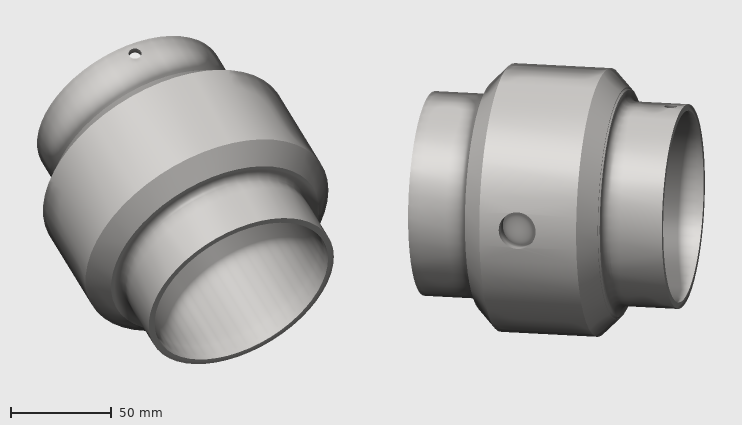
import cadquery as cq

housing_diameter = 133.4
collar_diameter = 114.3
pipe_diameter = 101.6
bore_diameter = 95.2

total_length = 128.5
left_shoulder_x = -24.3
right_shoulder_x = 24.8
collar_face_x = -34.0
collar_inner_x = -21.6
right_face_x = 34.1

housing_lip = 0.5
collar_chamfer = 0.8
fillet_radius = 3.6

vent_diameter = 6.4
vent_inset = 6.4
port_diameter = 18.7
port_x = 5.6

housing_radius = housing_diameter / 2
collar_radius = collar_diameter / 2
pipe_radius = pipe_diameter / 2
bore_radius = bore_diameter / 2
half_length = total_length / 2
lip_radius = collar_radius + housing_lip
left_face_x = left_shoulder_x - (housing_radius - lip_radius)
port_depth = housing_radius - collar_radius


def revolve_about_x(profile):
    return profile.close().revolve(360, (0, 0, 0), (1, 0, 0))


def make_port():
    """Blind round recess entering the housing from +Y."""
    return (
        cq.Workplane("XZ", origin=(port_x, housing_radius, 0))
        .circle(port_diameter / 2)
        .extrude(port_depth)
    )


def make_housing():
    """Bevelled barrel with the right pipe and a socket for the collar."""
    profile = (
        cq.Workplane("XY")
        .moveTo(collar_inner_x, bore_radius)
        .lineTo(half_length, bore_radius)
        .lineTo(half_length, pipe_radius)
        .lineTo(right_face_x + fillet_radius, pipe_radius)
        .radiusArc((right_face_x, pipe_radius + fillet_radius), fillet_radius)
        .lineTo(right_face_x, collar_radius)
        .lineTo(right_shoulder_x, housing_radius)
        .lineTo(left_shoulder_x, housing_radius)
        .lineTo(left_face_x, lip_radius)
        .lineTo(left_face_x, collar_radius)
        .lineTo(collar_inner_x, collar_radius)
    )
    return revolve_about_x(profile).cut(make_port())


def make_vent():
    """Small radial hole through the top wall of the left pipe."""
    return (
        cq.Workplane("XY", origin=(vent_inset - half_length, 0, 0))
        .circle(vent_diameter / 2)
        .extrude(housing_radius)
    )


def make_collared_pipe():
    """Left pipe with a collar that sits in the housing socket."""
    profile = (
        cq.Workplane("XY")
        .moveTo(collar_inner_x, bore_radius)
        .lineTo(-half_length, bore_radius)
        .lineTo(-half_length, pipe_radius)
        .lineTo(collar_face_x - fillet_radius, pipe_radius)
        .radiusArc((collar_face_x, pipe_radius + fillet_radius), -fillet_radius)
        .lineTo(collar_face_x, collar_radius - collar_chamfer)
        .lineTo(collar_face_x + collar_chamfer, collar_radius)
        .lineTo(collar_inner_x, collar_radius)
    )
    return revolve_about_x(profile).cut(make_vent())


housing = make_housing()
collared_pipe = make_collared_pipe()

result = cq.Compound.makeCompound([housing.val(), collared_pipe.val()])